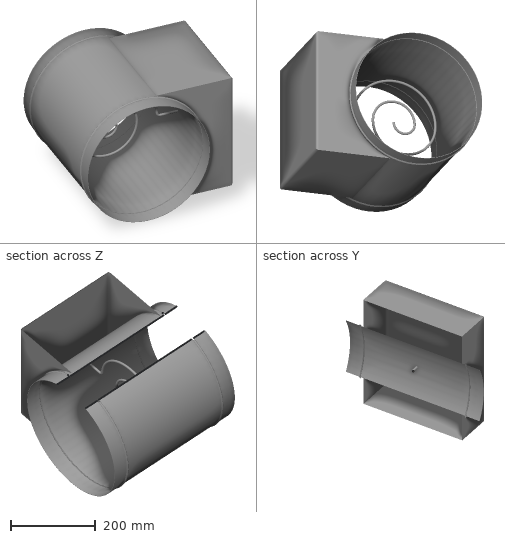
import cadquery as cq
import math

duct_length = 375.0
duct_radius = 157.5
sheet = 1.0
duct_inner_radius = duct_radius - sheet

bead_peak_diameter = 320.0
bead_peak_radius = bead_peak_diameter / 2
bead_inset = 39.5
bead_radius = 3.0
bead_ring_radius = bead_peak_radius - bead_radius

box_length = 277.0
box_top = 152.0
box_bottom = -147.5
overall_depth = 398.5
box_back = overall_depth - bead_peak_radius
box_edge_radius = 6.0

rod_radius = 3.0
spiral_step = 26.0
half_circles = 4
tail_bend_radius = 8.0


def cylinder(radius):
    return cq.Workplane("YZ").circle(radius).extrude(duct_length / 2, both=True)


def ring(tube_radius, x):
    """Torus around the duct axis, centred at x."""
    return cq.Workplane("XY").add(
        cq.Solid.makeTorus(bead_ring_radius, tube_radius, cq.Vector(x, 0, 0), cq.Vector(1, 0, 0))
    )


def make_duct():
    """Thin duct; each bead is a ridge outside and a groove inside."""
    duct = cylinder(duct_radius)
    bore = cylinder(duct_inner_radius)
    bead_x = duct_length / 2 - bead_inset
    for x in (-bead_x, bead_x):
        duct = duct.union(ring(bead_radius, x))
        bore = bore.union(ring(bead_radius - sheet, x))
    return duct.cut(bore)


def make_box():
    """Hollow box with rounded back edges, trimmed to the duct's curved side."""
    box_height = box_top - box_bottom
    middle = (box_top + box_bottom) / 2
    shell = (
        cq.Workplane("XY")
        .box(box_length, box_back, box_height)
        .translate((0, box_back / 2, middle))
        .faces(">Y").edges().fillet(box_edge_radius)
    )
    cavity_depth = box_back - sheet
    cavity = (
        cq.Workplane("XY")
        .box(box_length - 2 * sheet, cavity_depth, box_height - 2 * sheet)
        .translate((0, cavity_depth / 2, middle))
        .faces(">Y").edges().fillet(box_edge_radius - sheet)
    )
    return shell.cut(cavity).cut(cylinder(duct_inner_radius))


def make_rod():
    """Half circles growing by one step each, then a bend and a straight tail into the duct wall."""
    path = cq.Workplane("YZ").moveTo(0, 0)
    for number in range(1, half_circles):
        radius = number * spiral_step
        lower = number % 2 == 1
        centre = -spiral_step if lower else 0
        side = -1 if lower else 1
        path = path.threePointArc((centre, side * radius), (centre + side * radius, 0))

    outer_radius = half_circles * spiral_step
    bend_reach = outer_radius + tail_bend_radius
    bend_angle = math.asin(tail_bend_radius / bend_reach)
    bend_y = bend_reach * math.cos(bend_angle)
    tangent_point = (outer_radius * math.cos(bend_angle), outer_radius * math.sin(bend_angle))
    middle_angle = (math.pi + bend_angle + 1.5 * math.pi) / 2
    bend_middle = (
        bend_y + tail_bend_radius * math.cos(middle_angle),
        tail_bend_radius * (1 + math.sin(middle_angle)),
    )
    path = (
        path.threePointArc((0, outer_radius), tangent_point)
        .threePointArc(bend_middle, (bend_y, 0))
        .lineTo(duct_radius, 0)
    )
    return cq.Workplane("XY").circle(rod_radius).sweep(path)


result = make_duct().union(make_box()).union(make_rod())